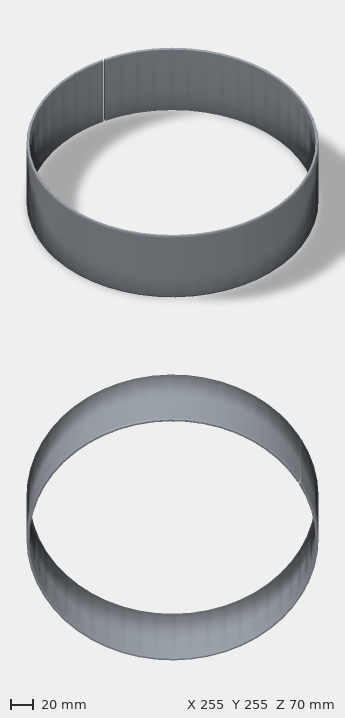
import cadquery as cq

outer_diameter = 255.0
height = 70.0
wall = 2.5
chamfer_height = 1.5
inner_chamfer = 0.5
chamfer_depth = 0.5
slit_width = 2.0

outer_radius = outer_diameter / 2
inner_radius = outer_radius - wall
outer_rim_radius = outer_radius - chamfer_depth
inner_rim_radius = inner_radius + inner_chamfer

wall_profile = [
    (inner_rim_radius, 0),
    (outer_rim_radius, 0),
    (outer_radius, chamfer_height),
    (outer_radius, height - chamfer_height),
    (outer_rim_radius, height),
    (inner_rim_radius, height),
    (inner_radius, height - inner_chamfer),
    (inner_radius, inner_chamfer),
]
band = (
    cq.Workplane("XZ")
    .polyline(wall_profile)
    .close()
    .revolve(360, (0, 0, 0), (0, 1, 0))
)

slit = (
    cq.Workplane("XY")
    .box(outer_radius, slit_width, height, centered=False)
    .translate((-outer_radius, 0, 0))
)

result = band.cut(slit)